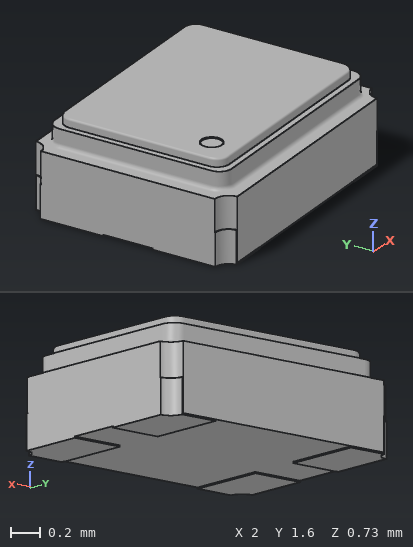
import cadquery as cq

body_length = 2
body_width = 1.6
body_height = 0.5
notch_radius = 0.11

pad_thickness = 0.01
pad_length = 0.4
pad_width = 0.6
pad_side_inset = 0.005
lining_thickness = 0.005
lining_top = 0.26

ring_inset = 0.095
ring_height = 0.15
ring_fillet = 0.04
lid_inset = 0.145
lid_height = 0.07
lid_fillet = 0.02
corner_radius = 0.1

mark_diameter = 0.16
mark_depth = 0.01
mark_x = -0.655
mark_y = -0.45

selection_margin = 0.002

body_bottom = pad_thickness
body_top = body_bottom + body_height
ring_top = body_top + ring_height
lid_top = ring_top + lid_height
lining_radius = notch_radius - lining_thickness
body_corners = [(sx * body_length / 2, sy * body_width / 2) for sx in (-1, 1) for sy in (-1, 1)]


def rounded_block(inset, bottom, height):
    """Block inset from the body sides, with rounded vertical edges."""
    block = cq.Workplane("XY", origin=(0, 0, bottom)).rect(
        body_length - 2 * inset, body_width - 2 * inset
    )
    return block.extrude(height).edges("|Z").fillet(corner_radius)


def corner_cylinders(radius, bottom, top):
    """Vertical cylinders centred on the four body corners."""
    circles = cq.Workplane("XY", origin=(0, 0, bottom)).pushPoints(body_corners).circle(radius)
    return circles.extrude(top - bottom)


def make_body():
    block = cq.Workplane("XY", origin=(0, 0, body_bottom)).rect(body_length, body_width).extrude(body_height)
    return block.cut(corner_cylinders(notch_radius, body_bottom, body_top))


def make_plating():
    pad_x = (body_length - pad_length) / 2
    pad_y = (body_width - pad_width) / 2 - pad_side_inset
    pads = (
        cq.Workplane("XY")
        .rect(2 * pad_x, 2 * pad_y, forConstruction=True)
        .vertices()
        .rect(pad_length, pad_width)
        .extrude(pad_thickness)
    )
    envelope = cq.Workplane("XY").rect(body_length, body_width - 2 * pad_side_inset).extrude(lining_top)
    linings = corner_cylinders(notch_radius, 0, lining_top).intersect(envelope)
    return pads.union(linings).cut(corner_cylinders(lining_radius, 0, lining_top))


def make_body_with_ring():
    """Body and seal ring, joined by a concave fillet around the foot of the ring."""
    joined = make_body().union(rounded_block(ring_inset, body_top, ring_height))
    half_x = body_length / 2 - ring_inset + selection_margin
    half_y = body_width / 2 - ring_inset + selection_margin
    foot_box = cq.selectors.BoxSelector(
        (-half_x, -half_y, body_top - selection_margin),
        (half_x, half_y, body_top + selection_margin),
        boundingbox=True,
    )
    return joined.edges(foot_box).fillet(ring_fillet)


def make_lid():
    lid = rounded_block(lid_inset, ring_top, lid_height).faces(">Z").edges().fillet(lid_fillet)
    mark = cq.Workplane("XY", origin=(mark_x, mark_y, lid_top - mark_depth)).circle(mark_diameter / 2)
    return lid.cut(mark.extrude(mark_depth))


result = make_body_with_ring().union(make_plating()).union(make_lid())